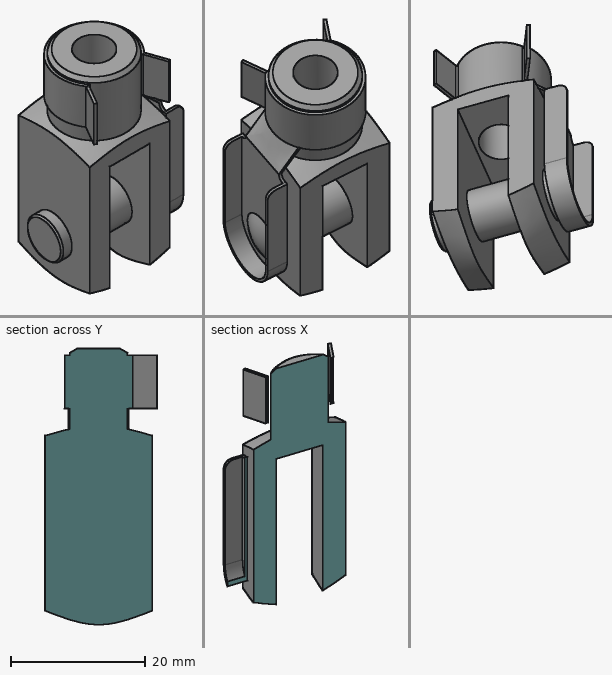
import cadquery as cq
import math

TOTAL_HEIGHT = 42.0
BODY_WIDTH = 16.0
SHOULDER_Z = 30.0
SLOT_WIDTH = 8.0
SLOT_TOP_Z = 26.3
NECK_DIA = 14.0
NECK_CHAMFER = 0.65
BORE_DIA = 6.65
SHOULDER_SLOPE = math.tan(math.radians(20))
TIP_SLOPE = 0.5

PIN_DIA = 8.0
PIN_BELOW_SLOT_TOP = 16.0
PIN_Z = SLOT_TOP_Z - PIN_BELOW_SLOT_TOP
PIN_FRONT_Y = -10.0
PIN_CHAMFER = 0.3
RIVET_DOME_HEIGHT = 1.15

SHEET = 0.5
CLIP_INNER_Y = 9.0
CLIP_OUTER_Y = 12.5
CLIP_WIDTH = 12.0
CLIP_TOP_Z = 28.0
CLIP_CORNER_RADIUS = 1.5
STRAP_WIDTH = 9.0
STRAP_BEND_Z = 29.1
STRAP_ROOT_RADIUS = 1.0
BAND_BOTTOM_Z = 33.0
BAND_TOP_Z = 41.0
LEG_END_X = 8.71
LEG_ANGLE = 25.0
LEG_START_X = 4.7

NECK_RADIUS = NECK_DIA / 2
BAND_RADIUS = NECK_RADIUS + SHEET
CLIP_PLATE_Y = CLIP_INNER_Y + SHEET


def on_circle(radius, x):
    """Y of the point at x on the +Y half of a circle centred on the origin."""
    return math.sqrt(radius**2 - x**2)


def make_fork():
    outer = BODY_WIDTH
    slot_half = SLOT_WIDTH / 2
    envelope = (
        cq.Workplane("XZ")
        .moveTo(0, 0)
        .lineTo(slot_half, 0)
        .lineTo(outer, (outer - slot_half) * TIP_SLOPE)
        .lineTo(outer, SHOULDER_Z - (outer - NECK_RADIUS) * SHOULDER_SLOPE)
        .lineTo(NECK_RADIUS, SHOULDER_Z)
        .lineTo(0, SHOULDER_Z)
        .close()
        .revolve(360, (0, 0, 0), (0, 1, 0))
    )
    block = cq.Workplane("XY").rect(BODY_WIDTH, BODY_WIDTH).extrude(SHOULDER_Z)
    neck = (
        cq.Workplane("XY", origin=(0, 0, SHOULDER_Z))
        .circle(NECK_RADIUS)
        .extrude(TOTAL_HEIGHT - SHOULDER_Z)
        .faces(">Z")
        .chamfer(NECK_CHAMFER)
    )
    slot = cq.Workplane("XY").rect(BODY_WIDTH, SLOT_WIDTH).extrude(SLOT_TOP_Z)
    bore = cq.Workplane("XY").circle(BORE_DIA / 2).extrude(TOTAL_HEIGHT)
    return block.intersect(envelope).union(neck).cut(slot).cut(bore)


def make_pin():
    radius = PIN_DIA / 2
    dome_radius = (radius**2 + RIVET_DOME_HEIGHT**2) / (2 * RIVET_DOME_HEIGHT)
    dome_center_y = CLIP_PLATE_Y + RIVET_DOME_HEIGHT - dome_radius
    mid_x = radius / 2
    return (
        cq.Workplane("XY", origin=(0, 0, PIN_Z))
        .moveTo(0, PIN_FRONT_Y)
        .lineTo(radius - PIN_CHAMFER, PIN_FRONT_Y)
        .lineTo(radius, PIN_FRONT_Y + PIN_CHAMFER)
        .lineTo(radius, CLIP_PLATE_Y)
        .threePointArc(
            (mid_x, dome_center_y + on_circle(dome_radius, mid_x)),
            (0, CLIP_PLATE_Y + RIVET_DOME_HEIGHT),
        )
        .close()
        .revolve(360, (0, 0, 0), (0, 1, 0))
    )


def clip_block(half_width, start_y):
    """Block from start_y to the clip's open side, rounded below around the pin axis."""
    return (
        cq.Workplane("XZ", origin=(0, start_y, 0))
        .moveTo(-half_width, CLIP_TOP_Z)
        .lineTo(-half_width, PIN_Z)
        .threePointArc((0, PIN_Z - half_width), (half_width, PIN_Z))
        .lineTo(half_width, CLIP_TOP_Z)
        .close()
        .extrude(start_y - CLIP_OUTER_Y)
    )


def make_channel():
    half_width = CLIP_WIDTH / 2
    shell = clip_block(half_width, CLIP_INNER_Y)
    rounded = shell.edges("|X and >Y and >Z").fillet(CLIP_CORNER_RADIUS)
    return rounded.cut(clip_block(half_width - SHEET, CLIP_PLATE_Y))


def make_strap():
    half = STRAP_WIDTH / 2
    root = half + STRAP_ROOT_RADIUS
    root_top_z = CLIP_TOP_Z + STRAP_ROOT_RADIUS
    tongue = (
        cq.Workplane("XZ", origin=(0, CLIP_INNER_Y, 0))
        .moveTo(-root, CLIP_TOP_Z)
        .radiusArc((-half, root_top_z), -STRAP_ROOT_RADIUS)
        .lineTo(-half, STRAP_BEND_Z)
        .lineTo(half, STRAP_BEND_Z)
        .lineTo(half, root_top_z)
        .radiusArc((root, CLIP_TOP_Z), -STRAP_ROOT_RADIUS)
        .close()
        .extrude(-SHEET)
    )
    flat_end = (
        cq.Workplane("XY", origin=(0, 0, STRAP_BEND_Z))
        .moveTo(-half, CLIP_INNER_Y)
        .lineTo(half, CLIP_INNER_Y)
        .lineTo(half, CLIP_PLATE_Y)
        .lineTo(-half, CLIP_PLATE_Y)
        .close()
        .val()
    )
    round_end = (
        cq.Workplane("XY", origin=(0, 0, BAND_BOTTOM_Z))
        .moveTo(-half, on_circle(NECK_RADIUS, half))
        .threePointArc((0, NECK_RADIUS), (half, on_circle(NECK_RADIUS, half)))
        .lineTo(half, on_circle(BAND_RADIUS, half))
        .threePointArc((0, BAND_RADIUS), (-half, on_circle(BAND_RADIUS, half)))
        .close()
        .val()
    )
    transition = cq.Workplane(cq.Solid.makeLoft([flat_end, round_end], True))
    return tongue.union(transition)


def make_band():
    height = BAND_TOP_Z - BAND_BOTTOM_Z
    base = cq.Workplane("XY", origin=(0, 0, BAND_BOTTOM_Z))
    angle = math.radians(LEG_ANGLE)
    start_y = on_circle(BAND_RADIUS, LEG_START_X)
    across = (SHEET * math.sin(angle), -SHEET * math.cos(angle))
    run = LEG_END_X - across[0] - LEG_START_X
    tip = (LEG_END_X - across[0], start_y + run * math.tan(angle))
    leg = (
        base.moveTo(LEG_START_X, start_y)
        .lineTo(*tip)
        .lineTo(tip[0] + across[0], tip[1] + across[1])
        .lineTo(LEG_START_X + across[0], start_y + across[1])
        .close()
        .extrude(height)
    )
    ring = base.circle(BAND_RADIUS).circle(NECK_RADIUS).extrude(height)
    gap_end_x = LEG_START_X + across[0] / 2
    gap_depth = BAND_RADIUS - gap_end_x
    gap = (
        base.moveTo(gap_end_x + gap_depth / 2, 0)
        .rect(gap_depth, 2 * start_y)
        .extrude(height)
    )
    return ring.cut(gap).union(leg).union(leg.mirror("XZ"))


result = make_fork().union(make_pin()).union(make_channel()).union(make_strap()).union(make_band())